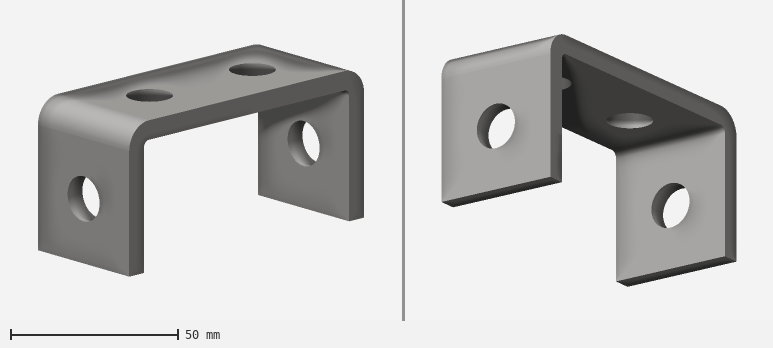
import cadquery as cq

width = 40.0
length = 96.0
height = 47.0
thickness = 6.0
inner_bend_radius = 2.0
hole_diameter = 14.0
hole_edge_distance = 27.0

outer_bend_radius = inner_bend_radius + thickness
web_hole_spacing = length - 2 * hole_edge_distance
leg_hole_height = height - hole_edge_distance


def rounded_block(block_length, block_height, bend_radius):
    """Full-width block standing on Z = 0 with its two top X edges rounded."""
    return (
        cq.Workplane("XY")
        .box(width, block_length, block_height, centered=(True, True, False))
        .edges("|X and >Z")
        .fillet(bend_radius)
    )


outside = rounded_block(length, height, outer_bend_radius)
inside = rounded_block(length - 2 * thickness, height - thickness, inner_bend_radius)
bracket = outside.cut(inside)

web_holes = (
    cq.Workplane("XY")
    .pushPoints([(0, -web_hole_spacing / 2), (0, web_hole_spacing / 2)])
    .circle(hole_diameter / 2)
    .extrude(height)
)

leg_holes = (
    cq.Workplane("XZ")
    .center(0, leg_hole_height)
    .circle(hole_diameter / 2)
    .extrude(length / 2, both=True)
)

result = bracket.cut(web_holes).cut(leg_holes)